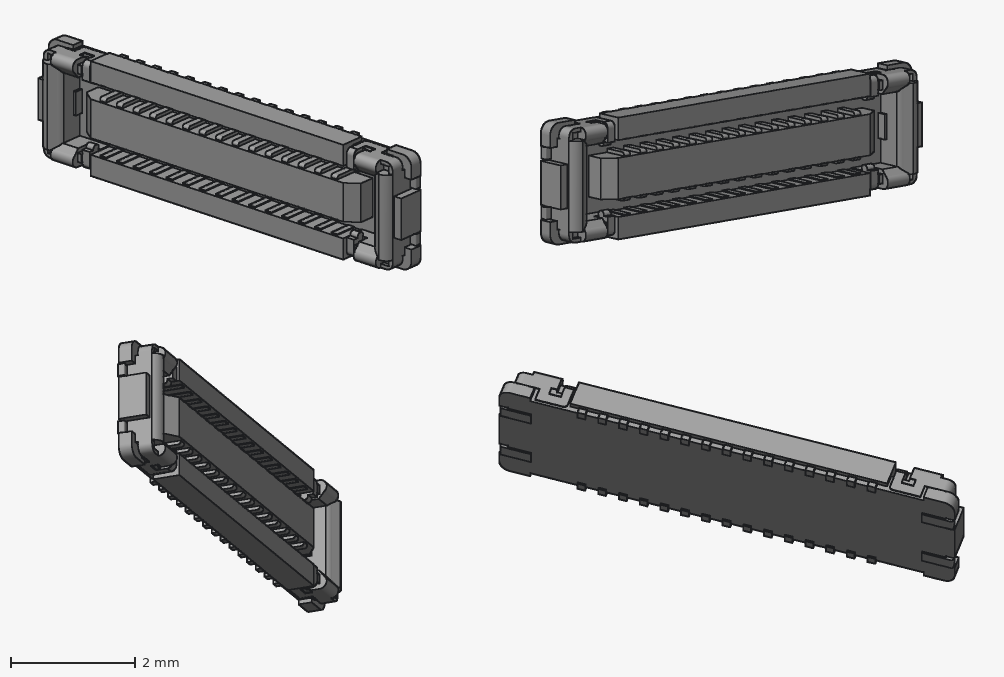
import cadquery as cq
import math

length = 7.7
width = 2.0
total_height = 0.68
half_length = length / 2
half_width = width / 2

base_bottom = 0.03
floor_height = 0.12
base_half_width = 0.925
wall_height = 0.585
wall_half_length = 2.68
wall_inner = 0.63
island_half_length = 2.91
island_half_width = 0.34
island_bevel_drop = 0.17
rib_inner = 0.69
rib_outer = 0.85
rib_width = 0.08
ledge_height = 0.34

foot_top = 0.26
foot_length = 0.52
foot_leg_end = 0.61
foot_radius = 0.185
tab_half_width = 0.36
tab_top = 0.515

shell_end_inset = 0.15
shell_end = half_length - shell_end_inset
shell_half_width = 0.94
shell_corner_radius = 0.14
shell_shoulder = 0.555
end_inner = half_length - 0.55
end_rim_half_width = 0.75
rim_round_width = 0.185
rim_round_drop = total_height - shell_shoulder
rim_slope_width = 0.14
rim_slope_drop = 0.085
rim_inner_height = 0.52
rim_inner_sag = 0.01
lip_outer_x = half_length - 0.4
lip_inner_x = half_length - 0.87
lip_inner_z = 0.615
lip_wall_height = 0.54
lip_crest_z = 0.82
lip_slope_end_z = 0.72
lip_slope_drop = 0.05
pocket_outer_x = half_length - 0.23
pocket_outer_z = 0.87
pocket_depth = 0.08

plate_thickness = 0.06
plate_low_edge = 0.31
plate_high_edge = 0.08
plate_step_x = half_length - 0.59
plate_inner_x = half_length - 1.125
plate_round = 0.06
slot_inner_x = half_length - 0.97
slot_wide_x = half_length - 0.77
slot_neck_height = 0.385
slot_end_height = 0.26
arm_inner_z = 0.61
arm_round = 0.1
bulge_inner_z = 0.53
bulge_low = 0.32
bulge_high = 0.46
bulge_round = 0.06

tail_near_z = 0.39
tail_far_z = 0.59
tail_inset = 0.02
tail_height = 0.12
tail_round = 0.02
boss_half_width = 0.21
boss_thickness = 0.05
boss_top = 0.28

contact_count = 15
contact_span = 4.905
contact_pitch = contact_span / (contact_count - 1)
contact_width = 0.13
contact_top = 0.54
island_contact_reach = 0.06
wall_contact_reach = 0.015
contact_round = 0.05
solder_tail_near_z = 0.85
solder_tail_far_z = 0.98


def block(x_near, x_far, low, high, z_near, z_far):
    """Box between two X values, two heights and two Z values."""
    size = (x_far - x_near, high - low, z_far - z_near)
    return cq.Workplane("XY").box(*size, centered=False).translate((x_near, -high, z_near))


def centred_block(half_x, low, high, half_z):
    return block(-half_x, half_x, low, high, -half_z, half_z)


def mirrored_ends(shape):
    """The shape together with its mirror image at the other end of the part."""
    return shape.union(shape.mirror("YZ"))


def four_corners(shape):
    """The shape repeated in all four corners."""
    pair = shape.union(shape.mirror("XY"))
    return mirrored_ends(pair)


def make_insulator():
    base = centred_block(shell_end, base_bottom, floor_height, base_half_width)
    base = base.edges("|Y").fillet(shell_corner_radius)
    island_outline = [
        (-island_half_length, -base_bottom),
        (-island_half_length, island_bevel_drop - wall_height),
        (-wall_half_length, -wall_height),
        (wall_half_length, -wall_height),
        (island_half_length, island_bevel_drop - wall_height),
        (island_half_length, -base_bottom),
    ]
    island = cq.Workplane("XY").polyline(island_outline).close()
    island = island.extrude(island_half_width, both=True)
    tab = block(end_inner, half_length, base_bottom, tab_top, -tab_half_width, tab_half_width)
    wall = block(-wall_half_length, wall_half_length, floor_height, wall_height, wall_inner, half_width)
    walls = wall.union(wall.mirror("XY"))
    rib = block(
        lip_inner_x - rib_width, lip_inner_x, base_bottom, shell_shoulder, rib_inner, rib_outer
    )
    ledge = block(
        wall_half_length, lip_inner_x, floor_height, ledge_height, lip_inner_z, base_half_width
    )
    corner_parts = four_corners(rib.union(ledge))
    return base.union(island).union(walls).union(mirrored_ends(tab)).union(corner_parts)


def make_foot():
    """Rounded foot standing out around one corner of the shell."""
    foot = block(
        half_length - foot_length, half_length, base_bottom, foot_top, foot_leg_end, half_width
    )
    return foot.edges("|Y and >X and >Z").fillet(foot_radius)


def make_end_rim():
    """Rolled end wall of the shell: rounded outside, sloping inwards inside."""
    round_start = (shell_end, -shell_shoulder)
    crest = (shell_end - rim_round_width, -total_height)
    arc_radius = (rim_round_width**2 + rim_round_drop**2) / (2 * rim_round_drop)
    half_angle = math.asin(rim_round_width / arc_radius) / 2
    round_middle = (
        crest[0] + arc_radius * math.sin(half_angle),
        crest[1] + arc_radius * (1 - math.cos(half_angle)),
    )
    slope_end = (crest[0] - rim_slope_width, rim_slope_drop - total_height)
    inner_start = (end_inner, -rim_inner_height)
    profile = (
        cq.Workplane("XY")
        .moveTo(end_inner, -base_bottom)
        .lineTo(shell_end, -base_bottom)
        .lineTo(*round_start)
        .threePointArc(round_middle, crest)
        .lineTo(*slope_end)
        .sagittaArc(inner_start, rim_inner_sag)
        .close()
    )
    return profile.extrude(end_rim_half_width, both=True)


def make_lip():
    """Rolled lip of the shell along one long side."""
    profile = (
        cq.Workplane("YZ", origin=(lip_inner_x, 0, 0))
        .moveTo(-base_bottom, lip_inner_z)
        .lineTo(-lip_wall_height, lip_inner_z)
        .lineTo(lip_slope_drop - total_height, lip_slope_end_z)
        .threePointArc((-total_height, lip_crest_z), (-shell_shoulder, shell_half_width))
        .lineTo(-slot_neck_height, shell_half_width)
        .lineTo(-slot_neck_height, base_half_width)
        .lineTo(-base_bottom, base_half_width)
        .close()
    )
    return profile.extrude(lip_outer_x - lip_inner_x)


def make_shell_corner():
    """Low rounded corner joining the end rim and the lip."""
    corner = block(
        lip_outer_x, shell_end, plate_low_edge, shell_shoulder, lip_inner_z, shell_half_width
    )
    corner = corner.edges("|Y and >X and >Z").fillet(shell_corner_radius)
    pocket = block(
        lip_outer_x,
        pocket_outer_x,
        shell_shoulder - pocket_depth,
        shell_shoulder,
        end_rim_half_width,
        pocket_outer_z,
    )
    return corner.cut(pocket)


def make_side_plate():
    """Flat plate on one long side with its hook-shaped slot."""
    outline = (
        cq.Workplane("XY", origin=(0, 0, shell_half_width - plate_thickness))
        .moveTo(lip_outer_x, -plate_low_edge)
        .lineTo(plate_step_x, -plate_low_edge)
        .lineTo(plate_step_x, -plate_high_edge)
        .lineTo(plate_inner_x, -plate_high_edge)
        .lineTo(plate_inner_x, -shell_shoulder)
        .lineTo(slot_inner_x, -shell_shoulder)
        .lineTo(slot_inner_x, -slot_end_height)
        .lineTo(slot_wide_x, -slot_end_height)
        .lineTo(slot_wide_x, -slot_neck_height)
        .lineTo(lip_inner_x, -slot_neck_height)
        .lineTo(lip_inner_x, -shell_shoulder)
        .lineTo(lip_outer_x, -shell_shoulder)
        .close()
    )
    plate = outline.extrude(plate_thickness)
    arm_gap = block(
        plate_inner_x, slot_inner_x, shell_shoulder - arm_round, shell_shoulder, 0, shell_half_width
    )
    return plate.edges("|Z and <X and >Y").fillet(plate_round).cut(arm_gap)


def make_spring_arm():
    """Spring arm folded inwards from the side plate, with a rounded contact bulge."""
    arm = block(
        plate_inner_x, slot_inner_x, ledge_height, shell_shoulder, arm_inner_z, shell_half_width
    )
    arm = arm.edges("|X and <Y and >Z").fillet(arm_round)
    bulge = block(
        plate_inner_x, slot_inner_x, bulge_low, bulge_high, bulge_inner_z, shell_half_width
    )
    bulge = bulge.edges("|X and <Z").fillet(bulge_round)
    return arm.union(bulge)


def make_shell_tail():
    """Rounded solder tail at one side of an end tab."""
    tail = block(end_inner, half_length - tail_inset, 0, tail_height, tail_near_z, tail_far_z)
    return tail.edges("|Z and >X").fillet(tail_round)


def make_contacts():
    """One contact position: island spring, wall strip and solder tail on both sides of the island."""
    half = contact_width / 2
    spring_face = island_half_width + island_contact_reach
    spring = block(-half, half, base_bottom, contact_top, 0, spring_face)
    spring = spring.edges("|X and >Z and <Y").fillet(contact_round)
    strip_face = wall_inner - wall_contact_reach
    strip = block(-half, half, base_bottom, contact_top, strip_face, solder_tail_near_z)
    tail = block(-half, half, 0, floor_height, solder_tail_near_z, solder_tail_far_z)
    tail = tail.edges("|X and >Z and <Y").fillet(contact_round)
    one_side = spring.union(strip).union(tail)
    return one_side.union(one_side.mirror("XY"))


result = make_insulator()
result = result.union(mirrored_ends(make_end_rim()))
for corner_part in (
    make_foot(),
    make_lip(),
    make_shell_corner(),
    make_side_plate(),
    make_spring_arm(),
    make_shell_tail(),
):
    result = result.union(four_corners(corner_part))

boss = block(
    end_inner - boss_thickness, end_inner, base_bottom, boss_top, -boss_half_width, boss_half_width
)
result = result.union(mirrored_ends(boss))

contact = make_contacts()
for index in range(contact_count):
    contact_x = (index - (contact_count - 1) / 2) * contact_pitch
    result = result.union(contact.translate((contact_x, 0, 0)))